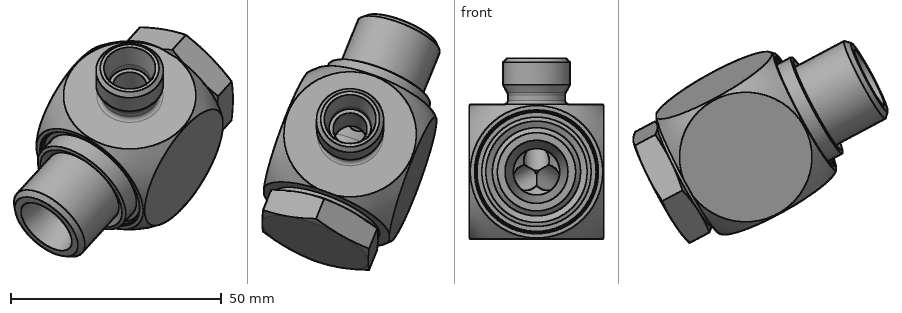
import cadquery as cq
import math


cube_width = 32.0
half_width = cube_width / 2
housing_front = -half_width
housing_rear = 15.55
sphere_radius = 22.45

recess_diameter = 29.0
recess_depth = 1.0
recess_mouth_chamfer = 0.2
recess_floor_chamfer = 0.35

port_top = 27.0
port_diameter = 16.0
port_top_chamfer = 1.0
port_collar_bottom = 20.6
port_collar_taper = 30
neck_diameter = 13.7
neck_fillet = 1.0

cone_half_angle = 12
port_mouth_diameter = 12.25
port_counterbore_diameter = 10.0
port_counterbore_depth = 7.1
port_bore_diameter = 8.0

bolt_diameter = 20.95
bolt_radius = bolt_diameter / 2
bolt_length = 56.5
head_height = 6.55
head_sides = 6
head_flats = 27.0
head_chamfer_angle = 15
bolt_tip_chamfer = 1.2

washer_thickness = 1.0
washer_diameter = head_flats

bolt_mouth_diameter = 15.0
bolt_bore_diameter = 11.0
drill_tip_half_angle = 59
bolt_bore_tip = -8.65

groove_half_width = 5.65
groove_slope = 12
groove_arc_half_width = 1.35

oil_hole_count = 3
oil_hole_diameter = 6.0
oil_hole_slope = 30
oil_hole_start = -12.5

ring_diameter = 26
ring_edge_diameter = 24.05
ring_front = -19.45
ring_outer_bevel = 0.2
ring_inner_bevel_depth = 0.85

washer_front = housing_rear
head_front = washer_front + washer_thickness
bolt_rear = head_front + head_height
bolt_front = bolt_rear - bolt_length
recess_floor = housing_front + recess_depth


def tangent(degrees):
    return math.tan(math.radians(degrees))


def revolve_about_y(profile):
    """Revolve a (radius, y) profile about the Y axis, drawn on an XY workplane."""
    return profile.close().revolve(360, (0, 0, 0), (0, 1, 0))


def revolve_about_z(profile):
    """Revolve a (radius, z) profile about the Z axis, drawn on an XZ workplane."""
    return profile.close().revolve(360, (0, 0, 0), (0, 1, 0))


def y_cylinder(diameter, start, end):
    """Cylinder on the Y axis between two Y positions."""
    return cq.Workplane("XZ", origin=(0, start, 0)).circle(diameter / 2).extrude(start - end)


def make_port_stub():
    port_radius = port_diameter / 2
    neck_radius = neck_diameter / 2
    lower_middle = neck_fillet * (1 - math.sqrt(0.5))
    taper = math.radians(port_collar_taper)
    taper_end_radius = neck_radius + neck_fillet * (1 - math.cos(taper))
    taper_end = port_collar_bottom - (port_radius - taper_end_radius) / math.tan(taper)
    neck_top = taper_end - neck_fillet * math.sin(taper)
    upper_middle_radius = neck_radius + neck_fillet * (1 - math.cos(taper / 2))
    upper_middle = neck_top + neck_fillet * math.sin(taper / 2)
    profile = (
        cq.Workplane("XZ")
        .moveTo(0, 0)
        .lineTo(neck_radius + neck_fillet, 0)
        .lineTo(neck_radius + neck_fillet, half_width)
        .threePointArc(
            (neck_radius + lower_middle, half_width + lower_middle),
            (neck_radius, half_width + neck_fillet),
        )
        .lineTo(neck_radius, neck_top)
        .threePointArc((upper_middle_radius, upper_middle), (taper_end_radius, taper_end))
        .lineTo(port_radius, port_collar_bottom)
        .lineTo(port_radius, port_top - port_top_chamfer)
        .lineTo(port_radius - port_top_chamfer, port_top)
        .lineTo(0, port_top)
    )
    return revolve_about_z(profile)


def make_port_bore():
    mouth_radius = port_mouth_diameter / 2
    counterbore_radius = port_counterbore_diameter / 2
    bore_radius = port_bore_diameter / 2
    cone_depth = (mouth_radius - counterbore_radius) / tangent(cone_half_angle)
    counterbore_floor = port_top - port_counterbore_depth
    profile = (
        cq.Workplane("XZ")
        .moveTo(0, 0)
        .lineTo(bore_radius, 0)
        .lineTo(bore_radius, counterbore_floor)
        .lineTo(counterbore_radius, counterbore_floor)
        .lineTo(counterbore_radius, port_top - cone_depth)
        .lineTo(mouth_radius, port_top)
        .lineTo(0, port_top)
    )
    return revolve_about_z(profile)


def make_housing():
    body = cq.Workplane("XY").box(cube_width, housing_rear - housing_front, cube_width)
    body = body.translate((0, (housing_rear + housing_front) / 2, 0))
    body = body.intersect(cq.Workplane("XY").sphere(sphere_radius))
    recess = y_cylinder(recess_diameter, housing_front, recess_floor)
    recess = recess.faces(">Y").chamfer(recess_floor_chamfer)
    mouth = cq.Workplane(
        cq.Solid.makeCone(
            recess_diameter / 2 + recess_mouth_chamfer,
            recess_diameter / 2,
            recess_mouth_chamfer,
            cq.Vector(0, housing_front, 0),
            cq.Vector(0, 1, 0),
        )
    )
    bolt_hole = y_cylinder(bolt_diameter, housing_front, housing_rear)
    return body.union(make_port_stub()).cut(recess).cut(mouth).cut(make_port_bore()).cut(bolt_hole)


def make_head():
    half_side_angle = 180 / head_sides
    corner_diameter = head_flats / math.cos(math.radians(half_side_angle))
    prism = (
        cq.Workplane("XZ", origin=(0, head_front, 0))
        .polygon(head_sides, corner_diameter)
        .extrude(-head_height)
        .rotate((0, 0, 0), (0, 1, 0), half_side_angle)
    )
    flat_radius = head_flats / 2
    corner_radius = corner_diameter / 2
    corner_drop = (corner_radius - flat_radius) * tangent(head_chamfer_angle)
    turned = (
        cq.Workplane("XY")
        .moveTo(0, head_front)
        .lineTo(flat_radius, head_front)
        .lineTo(corner_radius, head_front + corner_drop)
        .lineTo(corner_radius, bolt_rear - corner_drop)
        .lineTo(flat_radius, bolt_rear)
        .lineTo(0, bolt_rear)
    )
    return prism.intersect(revolve_about_y(turned))


def make_bolt_bore():
    mouth_radius = bolt_mouth_diameter / 2
    bore_radius = bolt_bore_diameter / 2
    cone_depth = (mouth_radius - bore_radius) / tangent(cone_half_angle)
    tip_length = bore_radius / tangent(drill_tip_half_angle)
    profile = (
        cq.Workplane("XY")
        .moveTo(0, bolt_front)
        .lineTo(mouth_radius, bolt_front)
        .lineTo(bore_radius, bolt_front + cone_depth)
        .lineTo(bore_radius, bolt_bore_tip - tip_length)
        .lineTo(0, bolt_bore_tip)
    )
    return revolve_about_y(profile)


def make_oil_groove():
    arc_end_radius = bolt_radius - (groove_half_width - groove_arc_half_width) * tangent(groove_slope)
    groove_bottom_radius = arc_end_radius - groove_arc_half_width * tangent(groove_slope / 2)
    profile = (
        cq.Workplane("XY")
        .moveTo(bolt_radius, -groove_half_width)
        .lineTo(arc_end_radius, -groove_arc_half_width)
        .threePointArc((groove_bottom_radius, 0), (arc_end_radius, groove_arc_half_width))
        .lineTo(bolt_radius, groove_half_width)
    )
    return revolve_about_y(profile)


def make_oil_hole(angle):
    """Hole that leaves the bolt axis upward and to the rear, turned by an angle about that axis."""
    slope = math.radians(oil_hole_slope)
    direction = cq.Vector(0, math.sin(slope), math.cos(slope))
    length = bolt_diameter / math.cos(slope)
    hole = cq.Solid.makeCylinder(oil_hole_diameter / 2, length, cq.Vector(0, oil_hole_start, 0), direction)
    return hole.rotate(cq.Vector(0, 0, 0), cq.Vector(0, 1, 0), angle)


def make_bolt():
    shank = y_cylinder(bolt_diameter, bolt_front, head_front).faces("<Y").chamfer(bolt_tip_chamfer)
    bolt = shank.union(make_head()).cut(make_oil_groove()).cut(make_bolt_bore())
    for index in range(oil_hole_count):
        bolt = bolt.cut(cq.Workplane(make_oil_hole(index * 360 / oil_hole_count)))
    return bolt


def make_washer():
    washer = y_cylinder(washer_diameter, washer_front, head_front)
    return washer.cut(y_cylinder(bolt_diameter, washer_front, head_front))


def make_sealing_ring():
    ring_radius = ring_diameter / 2
    edge_radius = ring_edge_diameter / 2
    profile = (
        cq.Workplane("XY")
        .moveTo(bolt_radius, recess_floor)
        .lineTo(ring_radius, recess_floor)
        .lineTo(ring_radius, ring_front + ring_outer_bevel)
        .lineTo(edge_radius, ring_front)
        .lineTo(bolt_radius, ring_front + ring_inner_bevel_depth)
    )
    return revolve_about_y(profile)


housing = make_housing()
bolt = make_bolt()
washer = make_washer()
sealing_ring = make_sealing_ring()

result = cq.Compound.makeCompound([housing.val(), bolt.val(), washer.val(), sealing_ring.val()])